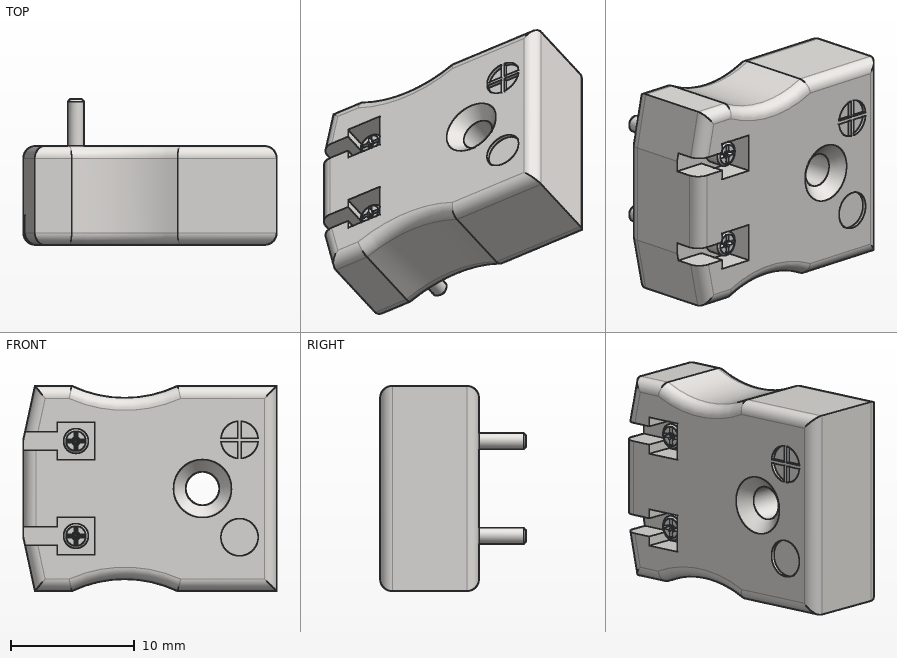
import cadquery as cq
import math


LENGTH = 20.5
HEIGHT = 16.6
DEPTH = 8.02
EDGE_RADIUS = 1.0
NOSE_SETBACK = 0.95
NOSE_FLAT = 7.9
GRIP_CENTER_X = 8.2
GRIP_RADIUS = 10.0
GRIP_SAG = 0.96

MOUNT_X = 14.5
MOUNT_DIAMETER = 2.69
COUNTERSINK_DIAMETER = 4.7
COUNTERSINK_ANGLE = 90

TERMINAL_X = 4.26
TERMINAL_OFFSET_Z = 3.83
RECESS_SIZE = 3.03
RECESS_DEPTH = 2.4
WIRE_SLOT_WIDTH = 1.52

HEAD_DIAMETER = 2.0
HEAD_HEIGHT = 1.45
HEAD_CHAMFER_RADIAL = 0.2
HEAD_CHAMFER_AXIAL = 0.15
CROSS_LENGTH = 1.58
CROSS_WIDTH = 0.29
CROSS_DEPTH = 0.4
CROSS_WALL_TAPER = 14
CROSS_CENTER_RADIUS = 0.33
CROSS_CENTER_DEPTH = 0.57

PIN_DIAMETER = 1.33
PIN_LENGTH = 3.8
PIN_CHAMFER = 0.2

MARK_X = 17.49
MARK_OFFSET_Z = 3.94
MARK_DIAMETER = 3.01
MARK_DEPTH = 0.3
PLUS_BAR_WIDTH = 0.29


def front_plane(x, z, y=0.0):
    """Sketch plane parallel to the front face; its normal points out of the front (-Y)."""
    return cq.Workplane(cq.Plane(origin=(x, y, z), xDir=(1, 0, 0), normal=(0, -1, 0)))


def housing_blank():
    top = HEIGHT / 2
    grip_half = math.sqrt(GRIP_RADIUS**2 - (GRIP_RADIUS - GRIP_SAG) ** 2)
    grip_start = GRIP_CENTER_X - grip_half
    grip_end = GRIP_CENTER_X + grip_half
    return (
        front_plane(0, 0)
        .moveTo(0, -NOSE_FLAT / 2)
        .lineTo(0, NOSE_FLAT / 2)
        .lineTo(NOSE_SETBACK, top)
        .lineTo(grip_start, top)
        .threePointArc((GRIP_CENTER_X, top - GRIP_SAG), (grip_end, top))
        .lineTo(LENGTH, top)
        .lineTo(LENGTH, -top)
        .lineTo(grip_end, -top)
        .threePointArc((GRIP_CENTER_X, GRIP_SAG - top), (grip_start, -top))
        .lineTo(NOSE_SETBACK, -top)
        .close()
        .extrude(-DEPTH)
        .faces("<Y or >Y")
        .edges()
        .fillet(EDGE_RADIUS)
    )


def terminal_recess(z):
    """Square screw recess with a wire slot of the same depth out through the nose."""
    square = front_plane(TERMINAL_X, z).rect(RECESS_SIZE, RECESS_SIZE).extrude(-RECESS_DEPTH)
    slot = front_plane(TERMINAL_X / 2, z).rect(TERMINAL_X, WIRE_SLOT_WIDTH).extrude(-RECESS_DEPTH)
    return square.union(slot)


def mount_hole():
    countersink_depth = (
        (COUNTERSINK_DIAMETER - MOUNT_DIAMETER) / 2 / math.tan(math.radians(COUNTERSINK_ANGLE / 2))
    )
    bore = front_plane(MOUNT_X, 0).circle(MOUNT_DIAMETER / 2).extrude(-DEPTH)
    cone = cq.Workplane(
        cq.Solid.makeCone(
            COUNTERSINK_DIAMETER / 2,
            MOUNT_DIAMETER / 2,
            countersink_depth,
            pnt=cq.Vector(MOUNT_X, 0, 0),
            dir=cq.Vector(0, 1, 0),
        )
    )
    return bore.union(cone)


def round_mark(z):
    return front_plane(MARK_X, z).circle(MARK_DIAMETER / 2).extrude(-MARK_DEPTH)


def plus_mark(z):
    """Round recess split into quadrants by a plus left level with the front face."""
    bar_length = MARK_DIAMETER + PLUS_BAR_WIDTH
    upright = front_plane(MARK_X, z).rect(PLUS_BAR_WIDTH, bar_length).extrude(-MARK_DEPTH)
    crossbar = front_plane(MARK_X, z).rect(bar_length, PLUS_BAR_WIDTH).extrude(-MARK_DEPTH)
    return round_mark(z).cut(upright).cut(crossbar)


def make_housing():
    housing = housing_blank()
    for side in (1, -1):
        housing = housing.cut(terminal_recess(side * TERMINAL_OFFSET_Z))
    housing = housing.cut(mount_hole())
    housing = housing.cut(plus_mark(MARK_OFFSET_Z))
    return housing.cut(round_mark(-MARK_OFFSET_Z))


def cross_drive(z, top_y):
    """Two crossed grooves with tapered walls, meeting in a deeper conical center."""
    plane = front_plane(TERMINAL_X, z, top_y)
    level = plane.rect(CROSS_LENGTH, CROSS_WIDTH).extrude(-CROSS_DEPTH, taper=CROSS_WALL_TAPER)
    upright = plane.rect(CROSS_WIDTH, CROSS_LENGTH).extrude(-CROSS_DEPTH, taper=CROSS_WALL_TAPER)
    center = cq.Workplane(
        cq.Solid.makeCone(
            CROSS_CENTER_RADIUS,
            0,
            CROSS_CENTER_DEPTH,
            pnt=cq.Vector(TERMINAL_X, top_y, z),
            dir=cq.Vector(0, 1, 0),
        )
    )
    return level.union(upright).union(center)


def make_screw(z):
    """Screw head standing on the recess floor, with a tapered cross drive."""
    head = (
        front_plane(TERMINAL_X, z, RECESS_DEPTH)
        .circle(HEAD_DIAMETER / 2)
        .extrude(HEAD_HEIGHT)
        .faces("<Y")
        .chamfer(HEAD_CHAMFER_AXIAL, HEAD_CHAMFER_RADIAL)
    )
    return head.cut(cross_drive(z, RECESS_DEPTH - HEAD_HEIGHT))


def make_pin(z):
    """Round contact pin standing on the back face, chamfered at its tip."""
    return (
        front_plane(TERMINAL_X, z, DEPTH)
        .circle(PIN_DIAMETER / 2)
        .extrude(-PIN_LENGTH)
        .faces(">Y")
        .chamfer(PIN_CHAMFER)
    )


housing = make_housing()
screws = []
pins = []
for side in (1, -1):
    screws.append(make_screw(side * TERMINAL_OFFSET_Z).solids().val())
    pins.append(make_pin(side * TERMINAL_OFFSET_Z).solids().val())

result = cq.Compound.makeCompound([housing.solids().val(), *screws, *pins])